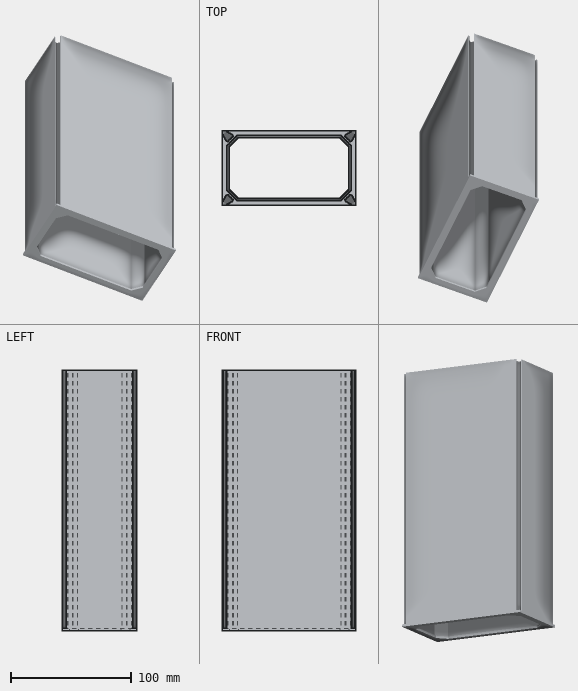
import cadquery as cq
import math

LENGTH_X = 111.29
WIDTH_Y = 62.3
HEIGHT_Z = 217.0

BASE_THICKNESS = 2.0
BASE_LIP_WIDTH = 2.0

WALL_THICKNESS = 4.0
CORNER_CUT = 8.5
OPENING_CORNER_CUT = CORNER_CUT - BASE_LIP_WIDTH * (2 - math.sqrt(2))

GROOVE_SETBACK = 3.63
GROOVE_LIP = 0.72
GROOVE_FLARE = 16.5
GROOVE_WIDEST = 8.2
GROOVE_DEPTH = 9.7


def chamfered_bar(inset, corner_cut, bottom, height):
    """Vertical bar, inset from the outer faces, with 45 degree cuts on its corners."""
    return (
        cq.Workplane("XY")
        .workplane(offset=bottom)
        .rect(LENGTH_X - 2 * inset, WIDTH_Y - 2 * inset)
        .extrude(height)
        .edges("|Z")
        .chamfer(corner_cut)
    )


def corner_groove():
    """Groove pointing along +X from the corner at the origin; it widens, then narrows to its floor."""
    flare = math.tan(math.radians(GROOVE_FLARE))
    mouth = GROOVE_SETBACK / math.sqrt(2)
    throat_depth = (GROOVE_SETBACK + GROOVE_LIP) / math.sqrt(2)
    throat_half = (GROOVE_SETBACK - GROOVE_LIP) / math.sqrt(2)
    widest_half = throat_half + (GROOVE_WIDEST - throat_depth) * flare
    floor_half = widest_half - (GROOVE_DEPTH - GROOVE_WIDEST) * flare
    one_side = [
        (mouth, mouth),
        (throat_depth, throat_half),
        (GROOVE_WIDEST, widest_half),
        (GROOVE_DEPTH, floor_half),
    ]
    other_side = [(depth, -half) for depth, half in reversed(one_side)]
    profile = [(0, 0)] + one_side + other_side
    return (
        cq.Workplane("XY")
        .workplane(offset=BASE_THICKNESS)
        .polyline(profile)
        .close()
        .extrude(HEIGHT_Z - BASE_THICKNESS)
    )


def tube():
    """Rectangular tube standing on a base frame with a slightly smaller opening."""
    block = cq.Workplane("XY").box(LENGTH_X, WIDTH_Y, HEIGHT_Z, centered=(True, True, False))
    bore = chamfered_bar(WALL_THICKNESS, CORNER_CUT, BASE_THICKNESS, HEIGHT_Z - BASE_THICKNESS)
    opening = chamfered_bar(WALL_THICKNESS + BASE_LIP_WIDTH, OPENING_CORNER_CUT, 0, BASE_THICKNESS)
    return block.cut(bore).cut(opening)


def cut_corner_grooves(body):
    """Cut one groove into each outer corner, aimed at the centre along the diagonal."""
    for side_x in (-1, 1):
        for side_y in (-1, 1):
            inward_angle = math.degrees(math.atan2(-side_y, -side_x))
            groove = corner_groove().rotate((0, 0, 0), (0, 0, 1), inward_angle)
            corner = (side_x * LENGTH_X / 2, side_y * WIDTH_Y / 2, 0)
            body = body.cut(groove.translate(corner))
    return body


result = cut_corner_grooves(tube())